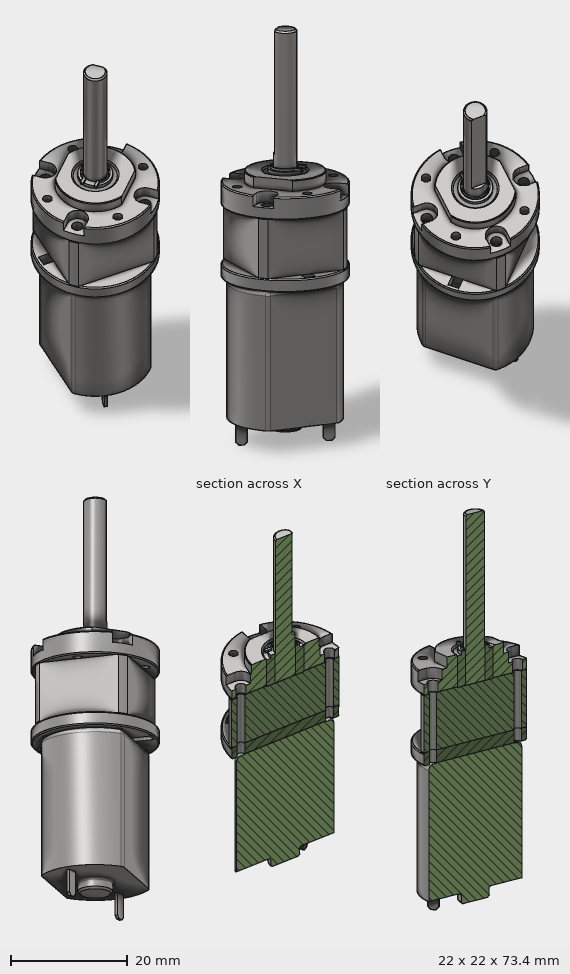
import cadquery as cq
total_height = 73.4
terminal_length = 4.55
can_length = 24.95
rear_plate_thickness = 2.35
gear_ring_height = 10.5
flange_thickness = 4.05
pilot_height = 2.0
collar_height = 0.4
clip_thickness = 0.45

can_bottom = terminal_length
can_top = can_bottom + can_length
ring_bottom = can_top + rear_plate_thickness
flange_bottom = ring_bottom + gear_ring_height
flange_top = flange_bottom + flange_thickness
pilot_top = flange_top + pilot_height
clip_bottom = pilot_top + collar_height

gearbox_diameter = 22.0
rim_chamfer = 0.2
ring_across_flats = 16.7
pilot_diameter = 14.0
pilot_chamfer = 0.15
pilot_across_flats = 12.1

hole_circle_diameter = 18.1
hole_circle_radius = hole_circle_diameter / 2
hole_count = 4
mounting_hole_diameter = 2.0
tapped_hole_diameter = 1.6
plate_hole_diameter = 1.5
slot_width = 3.75
slot_depth = 2.0
window_width = 2.0
window_inner_radius = 5.15
window_outer_radius = 10.3

bush_diameter = 7.55
bore_chamfer = 0.3
bush_recess = bore_chamfer
collar_diameter = 6.0
clip_diameter = 5.1
clip_bore = 4.55
clip_gap = 2.0
clip_lug_width = 2.9
clip_lug_reach = 3.4
shaft_diameter = 4.05
shaft_flat_distance = 1.5
shaft_flat_start = 51.4
shaft_chamfer = 0.3

can_diameter = 20.05
can_across_flats = 15.0
can_corner_radius = 1.2
can_top_fillet = 1.0
boss_diameter = 6.0
boss_height = 2.0
boss_chamfer = 0.4
boss_fillet = 0.4
terminal_count = 2
terminal_circle_diameter = 15.35
terminal_radius = terminal_circle_diameter / 2
terminal_angle = -58.0
terminal_width = 2.0
terminal_thickness = 0.5
terminal_tip_chamfer = 0.5

diagonal_angle = 45.0
selection_margin = 0.1


def cylinder(diameter, bottom, top):
    return cq.Workplane("XY").workplane(offset=bottom).circle(diameter / 2).extrude(top - bottom)


def box(width, depth, bottom, top):
    return cq.Workplane("XY").workplane(offset=bottom).rect(width, depth).extrude(top - bottom)


def hole_ring(diameter, start_angle, bottom, top):
    """Cutter for equally spaced holes on the gearbox hole circle."""
    return (
        cq.Workplane("XY")
        .workplane(offset=bottom)
        .polarArray(hole_circle_radius, start_angle, 360, hole_count)
        .circle(diameter / 2)
        .extrude(top - bottom)
    )


def turned(body, angle):
    """Body turned about the gearmotor axis."""
    return body.rotate((0, 0, 0), (0, 0, 1), angle)


def make_flange():
    """Front flange with its flatted pilot boss, U slots, holes and bush bore."""
    flange = cylinder(gearbox_diameter, flange_bottom, flange_top).edges().chamfer(rim_chamfer)
    pilot = cylinder(pilot_diameter, flange_top, pilot_top).faces(">Z").edges().chamfer(pilot_chamfer)
    pilot = pilot.intersect(box(pilot_across_flats, pilot_diameter, flange_top, pilot_top))
    flange = flange.union(pilot)

    slot = (
        cq.Workplane("XY")
        .workplane(offset=flange_top - slot_depth)
        .center(hole_circle_radius + slot_width, 0)
        .slot2D(3 * slot_width, slot_width)
        .extrude(slot_depth)
    )
    for index in range(hole_count):
        flange = flange.cut(turned(slot, index * 360 / hole_count))

    flange = flange.cut(hole_ring(mounting_hole_diameter, 0, flange_bottom, flange_top))
    flange = flange.cut(hole_ring(tapped_hole_diameter, diagonal_angle, flange_bottom, flange_top))
    flange = flange.cut(cylinder(bush_diameter, flange_bottom, pilot_top))
    bore_edge = cq.selectors.RadiusNthSelector(0)
    return flange.faces(">Z").edges("%CIRCLE").edges(bore_edge).chamfer(bore_chamfer)


def make_gear_ring():
    """Square gear ring turned 45 degrees, its corners rounded to the gearbox diameter."""
    square = turned(box(ring_across_flats, ring_across_flats, ring_bottom, flange_bottom), diagonal_angle)
    ring = cylinder(gearbox_diameter, ring_bottom, flange_bottom).intersect(square)
    return ring.cut(hole_ring(plate_hole_diameter, 0, ring_bottom, flange_bottom))


def make_rear_plate():
    """Round plate with four holes and two radial windows on one diagonal."""
    plate = cylinder(gearbox_diameter, can_top, ring_bottom).edges().chamfer(rim_chamfer)
    plate = plate.cut(hole_ring(plate_hole_diameter, 0, can_top, ring_bottom))
    window_length = window_outer_radius - window_inner_radius
    window = box(window_length, window_width, can_top, ring_bottom).translate(
        (window_inner_radius + window_length / 2, 0, 0)
    )
    for angle in (diagonal_angle, diagonal_angle + 180):
        plate = plate.cut(turned(window, angle))
    return plate


def make_can():
    """Motor can with two flats facing the -X-Y and +X+Y diagonals, and its rear boss."""
    can = cylinder(can_diameter, can_bottom, can_top).intersect(
        box(can_across_flats, can_diameter, can_bottom, can_top)
    )
    can = can.faces("<X or >X").edges("|Z").fillet(can_corner_radius)
    can = can.faces(">Z").edges().fillet(can_top_fillet)
    boss_bottom = can_bottom - boss_height
    boss = cylinder(boss_diameter, boss_bottom, can_bottom).faces("<Z").edges().chamfer(boss_chamfer)
    can = can.union(boss)
    boss_root = cq.selectors.BoxSelector(
        (-boss_diameter, -boss_diameter, can_bottom - selection_margin),
        (boss_diameter, boss_diameter, can_bottom + selection_margin),
    )
    can = can.edges(boss_root).fillet(boss_fillet)
    return turned(can, diagonal_angle)


def make_bush():
    """Shouldered bush filling the flange bore, its collar standing above the pilot boss."""
    shoulder = cylinder(bush_diameter, flange_bottom, pilot_top - bush_recess)
    collar = cylinder(collar_diameter, flange_bottom, clip_bottom)
    bore = cylinder(shaft_diameter, flange_bottom, clip_bottom)
    return shoulder.union(collar).cut(bore)


def make_clip():
    """Open ring lying on the bush collar, with two lugs pointing to -Y."""
    clip_top = clip_bottom + clip_thickness
    lugs = box(clip_lug_width, clip_lug_reach, clip_bottom, clip_top).translate((0, -clip_lug_reach / 2, 0))
    gap = box(clip_gap, clip_lug_reach, clip_bottom, clip_top).translate((0, -clip_lug_reach / 2, 0))
    ring = cylinder(clip_diameter, clip_bottom, clip_top).union(lugs)
    return ring.cut(gap).cut(cylinder(clip_bore, clip_bottom, clip_top))


def make_shaft():
    """Output shaft with a D flat facing +Y."""
    shaft = cylinder(shaft_diameter, flange_bottom, total_height).faces(">Z").edges().chamfer(shaft_chamfer)
    flat_cut = box(shaft_diameter, shaft_diameter, shaft_flat_start, total_height).translate(
        (0, shaft_flat_distance + shaft_diameter / 2, 0)
    )
    return shaft.cut(flat_cut)


def make_terminal(angle):
    """Flat blade with a tapered tip, its width along the radius."""
    blade = box(terminal_width, terminal_thickness, 0, can_bottom)
    blade = blade.faces("<Z").edges("|Y").chamfer(terminal_tip_chamfer)
    return turned(blade.translate((terminal_radius, 0, 0)), angle)


flange = make_flange()
gear_ring = make_gear_ring()
rear_plate = make_rear_plate()
can = make_can()
bush = make_bush()
clip = make_clip()
shaft = make_shaft()
terminals = [make_terminal(terminal_angle + index * 360 / terminal_count) for index in range(terminal_count)]

result = cq.Compound.makeCompound(
    [flange.val(), gear_ring.val(), rear_plate.val(), can.val(), bush.val(), clip.val(), shaft.val()]
    + [terminal.val() for terminal in terminals]
)